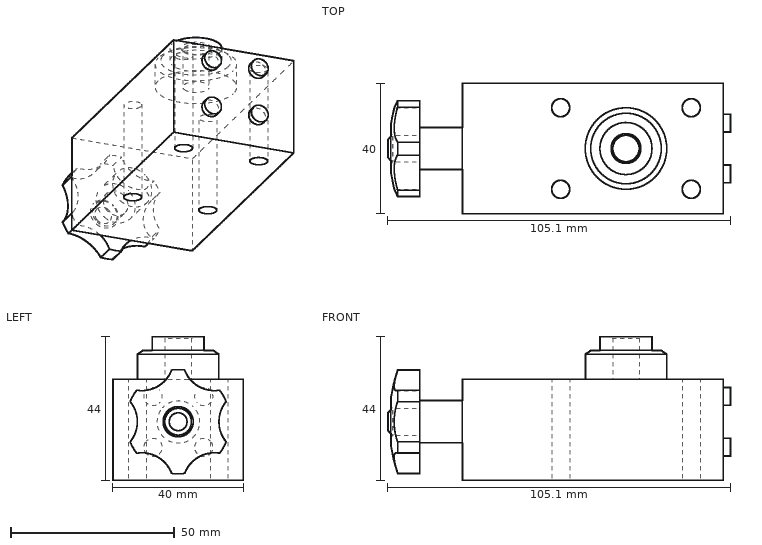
import cadquery as cq
import math


block_length = 80.0
block_width = 40.0
block_height = 31.0
axis_height = 18.0
block_front_x = 22.9
block_end_x = block_front_x + block_length
block_bottom_z = -axis_height
block_top_z = block_bottom_z + block_height

boss_x = block_end_x - 29.8
boss_diameter = 25.0
boss_height = 8.8
boss_chamfer_width = 1.7
boss_chamfer_height = 1.2
stud_diameter = 16.0
stud_height = 4.2
bore_diameter = 8.1
bore_depth = boss_height + stud_height
bore_chamfer = 0.5
bore_mouth_angle = 90

mount_hole_diameter = 5.5
mount_spacing_x = 40.0
mount_spacing_y = 25.0

peg_diameter = 5.6
peg_length = 2.2
peg_spacing = 15.5

tip_radius = 2.7
journal_radius = 4.1
shaft_radius = 6.5
tip_chamfer = journal_radius - tip_radius

knob_front_x = 0.9
knob_back_x = 9.9
knob_radius = 16.0
knob_flat_radius = 7.5
dome_radius = 49.4
knob_countersink = 0.5
lobe_count = 6
lobe_half_width = 2.0
flute_bottom_radius = 12.5


def cylinder_up(x, bottom_z, diameter, height):
    """Vertical cylinder on the XZ symmetry plane."""
    return cq.Workplane("XY", origin=(x, 0, bottom_z)).circle(diameter / 2).extrude(height)


def make_boss():
    """Chamfered boss carrying the stud, both standing on the block."""
    boss = cylinder_up(boss_x, block_top_z, boss_diameter, boss_height)
    boss = boss.faces(">Z").chamfer(boss_chamfer_height, boss_chamfer_width)
    stud = cylinder_up(boss_x, block_top_z + boss_height, stud_diameter, stud_height)
    return boss.union(stud)


def make_pegs():
    """Four short pegs on the end face of the block."""
    return (
        cq.Workplane("YZ", origin=(block_end_x, 0, 0))
        .rect(peg_spacing, peg_spacing, forConstruction=True)
        .vertices()
        .circle(peg_diameter / 2)
        .extrude(peg_length)
    )


def make_housing():
    """Block with boss, end pegs, mounting holes and the blind bore in the stud."""
    housing = cq.Workplane("XY", origin=(block_front_x, 0, block_bottom_z)).box(
        block_length, block_width, block_height, centered=(False, True, False)
    )
    mount_holes = (
        cq.Workplane("XY", origin=(boss_x, 0, block_bottom_z))
        .rect(mount_spacing_x, mount_spacing_y, forConstruction=True)
        .vertices()
        .circle(mount_hole_diameter / 2)
        .extrude(block_height)
    )
    housing = housing.cut(mount_holes).union(make_boss()).union(make_pegs())
    bore_diameter_at_mouth = bore_diameter + 2 * bore_chamfer
    return (
        housing.faces(">Z")
        .workplane(origin=(boss_x, 0, 0))
        .cskHole(bore_diameter, bore_diameter_at_mouth, bore_mouth_angle, depth=bore_depth)
    )


def make_spindle():
    """Stepped shaft from the chamfered tip, through the knob, to the block face."""
    return (
        cq.Workplane("XY")
        .moveTo(0, 0)
        .lineTo(0, tip_radius)
        .lineTo(tip_chamfer, journal_radius)
        .lineTo(knob_back_x, journal_radius)
        .lineTo(knob_back_x, shaft_radius)
        .lineTo(block_front_x, shaft_radius)
        .lineTo(block_front_x, 0)
        .close()
        .revolve(360, (0, 0, 0), (1, 0, 0))
    )


def dome_x(radius):
    """X of the domed knob face at a distance from the axis; it meets the flat ring at its edge."""
    rise_at_flat = math.sqrt(dome_radius**2 - knob_flat_radius**2)
    return knob_front_x + rise_at_flat - math.sqrt(dome_radius**2 - radius**2)


def make_knob_blank():
    """Round domed knob with a countersunk bore for the spindle."""
    middle_radius = (knob_flat_radius + knob_radius) / 2
    return (
        cq.Workplane("XY")
        .moveTo(knob_back_x, journal_radius)
        .lineTo(knob_front_x + knob_countersink, journal_radius)
        .lineTo(knob_front_x, journal_radius + knob_countersink)
        .lineTo(knob_front_x, knob_flat_radius)
        .threePointArc((dome_x(middle_radius), middle_radius), (dome_x(knob_radius), knob_radius))
        .lineTo(knob_back_x, knob_radius)
        .close()
        .revolve(360, (0, 0, 0), (1, 0, 0))
    )


def make_knob():
    """Star knob: the round blank with one scalloped flute between neighbouring lobes."""
    half_flute_angle = math.pi / lobe_count - math.asin(lobe_half_width / knob_radius)
    half_chord = knob_radius * math.sin(half_flute_angle)
    flute_depth = knob_radius * math.cos(half_flute_angle) - flute_bottom_radius
    flute_radius = (half_chord**2 + flute_depth**2) / (2 * flute_depth)

    flutes = (
        cq.Workplane("YZ")
        .polarArray(flute_bottom_radius + flute_radius, 0, 360, lobe_count)
        .circle(flute_radius)
        .extrude(knob_back_x)
    )
    return make_knob_blank().cut(flutes)


housing = make_housing()
knob = make_knob()
spindle = make_spindle()

result = cq.Compound.makeCompound([housing.val(), knob.val(), spindle.val()])